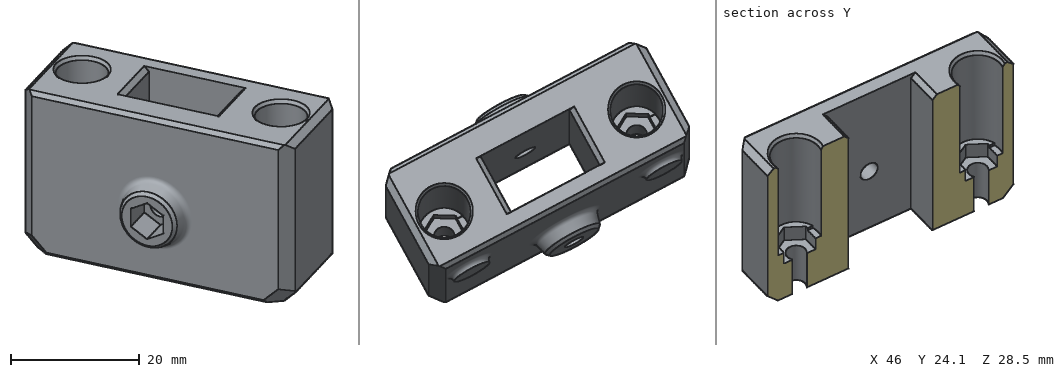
import cadquery as cq
import math

length = 46.0
body_depth = 18.05
height = 28.5
corner_bevel = 2.0
long_bevel = 0.7
end_bevel_width = 1.15
end_bevel_height = 1.0
corner_cut = 5.15
corner_cut_depth = 2.2
front_y = -body_depth / 2
back_y = body_depth / 2

boss_z = 11.95
boss_height = 3.0
boss_base_radius = 6.3
boss_fillet = 1.0
boss_draft = math.radians(15)
boss_tip_bevel = 0.55
boss_hex_flats = 5.5
boss_hex_depth = 5.05
front_hole_diameter = 3.5
back_hole_diameter = 3.2

pad_z = 20.2
pad_radius = 3.15
pad_height = 1.0

bore_x = 16.97
cavity_y = 0.95
pocket_length = 15.65
pocket_width = 10.05
pocket_bevel = 0.85

bore_diameter = 8.2
bore_depth = 18.4
bore_bevel_width = 0.35
bore_bevel_height = 0.6
slot_width = 2.4
slot_depth = 0.45
nut_flats = 5.9
nut_depth = 2.75
screw_diameter = 3.3

embed = 0.45


def make_block():
    """Bevelled block: the common volume of its plan, front and side outlines."""
    half = length / 2
    plan = cq.Workplane("XY").rect(length, body_depth).extrude(height).edges("|Z").chamfer(corner_bevel)
    front_outline = [
        (-half + corner_bevel, 0),
        (half - corner_bevel, 0),
        (half, corner_bevel),
        (half, height - end_bevel_height),
        (half - end_bevel_width, height),
        (-half + end_bevel_width, height),
        (-half, height - end_bevel_height),
        (-half, corner_bevel),
    ]
    front = cq.Workplane("XZ").polyline(front_outline).close().extrude(body_depth / 2, both=True)
    side = (
        cq.Workplane("YZ", origin=(0, 0, height / 2))
        .rect(body_depth, height)
        .extrude(half, both=True)
        .edges("|X")
        .chamfer(long_bevel)
    )
    return plan.intersect(front).intersect(side)


def corner_facet(side):
    """Solid outside the slanted facet at a front bottom corner; side is -1 or 1 along X."""
    slope = (corner_cut - corner_bevel) / corner_cut_depth
    facet = cq.Plane(
        origin=(side * (length - corner_cut) / 2, front_y, corner_cut / 2),
        xDir=(side, 0, -1),
        normal=(side, -slope, -1),
    )
    return cq.Workplane(facet).rect(length / 2, length / 2).extrude(corner_cut)


def make_boss():
    """Drafted boss with a filleted foot and bevelled tip, revolved about Z with its foot on Z = 0."""
    foot_radius = boss_base_radius - boss_fillet * math.cos(boss_draft)
    foot_height = boss_fillet * (1 - math.sin(boss_draft))
    mid_angle = (math.pi / 2 + boss_draft) / 2
    mid_foot = (
        boss_base_radius - boss_fillet * math.cos(mid_angle),
        boss_fillet * (1 - math.sin(mid_angle)),
    )
    shoulder_height = boss_height - boss_tip_bevel
    shoulder_radius = foot_radius - (shoulder_height - foot_height) * math.tan(boss_draft)
    return (
        cq.Workplane("XZ")
        .moveTo(0, -embed)
        .lineTo(boss_base_radius, -embed)
        .lineTo(boss_base_radius, 0)
        .threePointArc(mid_foot, (foot_radius, foot_height))
        .lineTo(shoulder_radius, shoulder_height)
        .lineTo(shoulder_radius - boss_tip_bevel, boss_height)
        .lineTo(0, boss_height)
        .close()
        .revolve(360, (0, 0), (0, 1))
    )


def make_pad():
    """Pad whose whole flank is a concave fillet, revolved about Z with its foot on Z = 0."""
    base_radius = pad_radius + pad_height
    mid_flank = (
        base_radius - pad_height * math.sqrt(0.5),
        pad_height * (1 - math.sqrt(0.5)),
    )
    return (
        cq.Workplane("XZ")
        .moveTo(0, -embed)
        .lineTo(base_radius, -embed)
        .lineTo(base_radius, 0)
        .threePointArc(mid_flank, (pad_radius, pad_height))
        .lineTo(0, pad_height)
        .close()
        .revolve(360, (0, 0), (0, 1))
    )


def pad_limit():
    """Wedge between the planes of the back corner bevels, extended outward from the back face."""
    face_half = length / 2 - corner_bevel
    outline = [
        (-face_half - embed, back_y - embed),
        (face_half + embed, back_y - embed),
        (face_half - pad_height, back_y + pad_height),
        (-face_half + pad_height, back_y + pad_height),
    ]
    return cq.Workplane("XY").polyline(outline).close().extrude(height)


def hexagon(plane, flats, depth):
    """Hexagonal prism with two corners on the local Y axis."""
    across_corners = flats / math.cos(math.pi / 6)
    return plane.transformed(rotate=(0, 0, 90)).polygon(6, across_corners).extrude(depth)


def boss_cutter():
    """Hexagonal recess in the front boss and the screw hole through both walls."""
    front_tip = front_y - boss_height
    front_plane = cq.Workplane("XZ", origin=(0, front_tip, boss_z))
    recess = hexagon(front_plane, boss_hex_flats, -boss_hex_depth)
    front_hole = front_plane.circle(front_hole_diameter / 2).extrude(front_tip)
    back_hole = front_plane.circle(back_hole_diameter / 2).extrude(-body_depth - 2 * boss_height)
    return recess.union(front_hole).union(back_hole)


def pocket_cutter():
    """Rectangular pocket through the height with lead-in bevels on its two short sides."""
    half = pocket_length / 2
    outline = [
        (-half, 0),
        (half, 0),
        (half, height - pocket_bevel),
        (half + pocket_bevel, height),
        (-half - pocket_bevel, height),
        (-half, height - pocket_bevel),
    ]
    pocket = cq.Workplane("XZ").polyline(outline).close().extrude(pocket_width / 2, both=True)
    return pocket.translate((0, cavity_y, 0))


def bore_cutter(x):
    """Bevelled bore, shallow cross slot, hexagonal nut seat and screw hole."""
    floor_z = height - bore_depth
    radius = bore_diameter / 2
    floor = cq.Workplane("XY", origin=(x, cavity_y, floor_z))
    bore = (
        cq.Workplane("XZ", origin=(x, cavity_y, 0))
        .moveTo(0, floor_z)
        .lineTo(radius, floor_z)
        .lineTo(radius, height - bore_bevel_height)
        .lineTo(radius + bore_bevel_width, height)
        .lineTo(0, height)
        .close()
        .revolve(360, (0, 0), (0, 1))
    )
    slot = (
        floor.circle(radius)
        .extrude(-slot_depth)
        .intersect(floor.rect(bore_diameter, slot_width).extrude(-slot_depth))
    )
    nut_seat = hexagon(floor, nut_flats, -nut_depth)
    screw_hole = floor.circle(screw_diameter / 2).extrude(-floor_z)
    return bore.union(slot).union(nut_seat).union(screw_hole)


result = make_block()
for side in (-1, 1):
    result = result.cut(corner_facet(side))

boss = make_boss()
result = result.union(boss.rotate((0, 0, 0), (1, 0, 0), 90).translate((0, front_y, boss_z)))
result = result.union(boss.rotate((0, 0, 0), (1, 0, 0), -90).translate((0, back_y, boss_z)))

pad = make_pad().rotate((0, 0, 0), (1, 0, 0), -90)
for x in (-bore_x, bore_x):
    result = result.union(pad.translate((x, back_y, pad_z)).intersect(pad_limit()))

result = result.cut(boss_cutter()).cut(pocket_cutter())
for x in (-bore_x, bore_x):
    result = result.cut(bore_cutter(x))